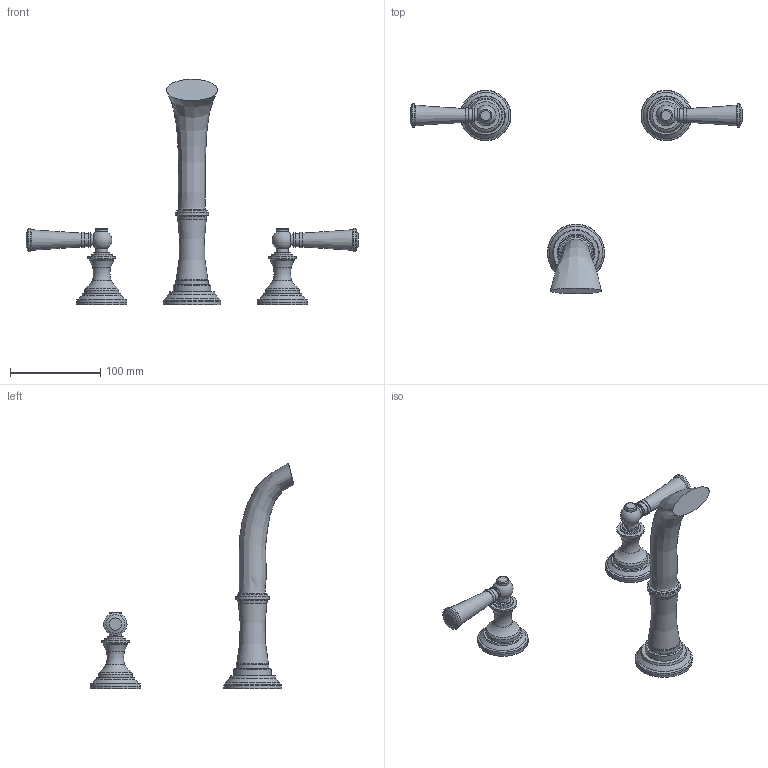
import cadquery as cq
import math

handle_spacing = 200.0
handle_setback = 152.0

spout_foot_radius = 31.75
spout_foot_edge_height = 3.0
spout_foot_height = 5.2
spout_foot_draft = 0.3
spout_slope_start_radius = 29.6
spout_slope_start_height = 6.6
spout_slope_end_radius = 25.6
spout_slope_end_height = 11.4
spout_slope_top_radius = 24.9
spout_slope_top_height = 14.2
spout_step_radius = 20.7
spout_step_height = 22.0
spout_step_chamfer = 1.0
column_foot_radius = 18.0
column_foot_height = 26.5
column_groove_depth = 0.5
column_groove_height = 1.0
waist_radius = 13.7
waist_height = 62.0
column_top_radius = 15.7
column_top_height = 94.6
collar_foot_radius = 16.6
collar_foot_height = 98.0
collar_radius = 18.5
collar_bottom_height = 99.0
collar_rim_height = 3.5
collar_step_radius = 16.9
collar_step_height = 1.3
collar_top_height = 105.0

tube_radius = 15.1
bend_start_height = 140.0
spout_reach = 45.75
spout_height = 249.67
mouth_half_width = 28.3
mouth_half_depth = 12.25
mouth_elevation = 14.6
bend_sections = [
    (0.5, 168.0, 72.0, 15.2, 15.2),
    (5.0, 192.5, 66.0, 16.6, 14.5),
    (12.0, 211.5, 53.0, 19.4, 13.6),
    (20.0, 222.8, 44.0, 22.3, 12.5),
    (29.8, 230.7, 28.0, 25.0, 11.9),
]

handle_foot_radius = 28.0
handle_foot_edge_height = 2.9
handle_foot_height = 5.3
handle_foot_draft = 0.3
handle_slope_start_radius = 25.7
handle_slope_start_height = 6.3
handle_slope_end_radius = 21.7
handle_slope_end_height = 10.3
handle_slope_top_radius = 21.2
handle_slope_top_height = 11.9
handle_step_radius = 19.1
handle_step_height = 16.0
handle_shoulder_radius = 18.0
handle_shoulder_height = 18.3
flare_bottom_radius = 10.4
flare_bottom_height = 27.0
flare_bottom_bow = -0.9
stem_waist_radius = 9.1
stem_waist_height = 34.0
flare_top_radius = 10.2
flare_top_height = 41.5
flare_top_bow = -0.3
cup_radius = 13.4
cup_bottom_height = 49.5
cup_rim_radius = 15.2
cup_rim_bottom_height = 51.0
cup_rim_top_height = 53.5
cup_step_radius = 11.5
cup_step_height = 55.8
cup_top_radius = 9.0
cup_top_height = 57.4
neck_radius = 6.8

lever_height = 71.6
ball_radius = 11.3
cap_radius = 6.8
cap_top_height = 84.5
cap_fillet = 1.3
stalk_radius = 6.0
collar_ring_radius = 7.9
collar_ring_start = 12.6
collar_ring_end = 14.2
lever_collar_radius = 7.3
band_radius = 8.5
band_start = 19.4
band_end = 22.7
grip_start_radius = 7.6
grip_end_radius = 11.4
flange_radius = 12.9
flange_start = 77.5
flange_end = 81.2
flange_chamfer = 1.2
flange_bevel_radius = 10.4
flange_bevel_end = 82.5
lever_length = 83.83
lever_end_radius = 6.8


def midpoint(start, end, bow):
    """Point bowed from the middle of a chord, positive to the right of its direction."""
    along = (end[0] - start[0], end[1] - start[1])
    length = math.hypot(*along)
    middle_x = (start[0] + end[0]) / 2 + bow * along[1] / length
    middle_y = (start[1] + end[1]) / 2 - bow * along[0] / length
    return (middle_x, middle_y)


def spout_pedestal():
    """Stepped foot, waisted column and collar, turned about Z."""
    groove_radius = column_foot_radius - column_groove_depth
    groove_top = column_foot_height + column_groove_height
    rim_top = collar_bottom_height + collar_rim_height
    profile = (
        cq.Workplane("XZ")
        .moveTo(0, 0)
        .lineTo(spout_foot_radius, 0)
        .lineTo(spout_foot_radius, spout_foot_edge_height)
        .lineTo(spout_foot_radius - spout_foot_draft, spout_foot_height)
        .lineTo(spout_slope_start_radius, spout_slope_start_height)
        .lineTo(spout_slope_end_radius, spout_slope_end_height)
        .lineTo(spout_slope_top_radius, spout_slope_top_height)
        .lineTo(spout_step_radius, spout_slope_top_height)
        .lineTo(spout_step_radius, spout_step_height - spout_step_chamfer)
        .lineTo(spout_step_radius - spout_step_chamfer, spout_step_height)
        .lineTo(column_foot_radius, spout_step_height)
        .lineTo(column_foot_radius, column_foot_height)
        .lineTo(groove_radius, column_foot_height)
        .lineTo(groove_radius, groove_top)
        .threePointArc((waist_radius, waist_height), (column_top_radius, column_top_height))
        .lineTo(collar_foot_radius, collar_foot_height)
        .lineTo(collar_radius, collar_bottom_height)
        .lineTo(collar_radius, rim_top)
        .lineTo(collar_step_radius, rim_top)
        .lineTo(collar_step_radius, rim_top + collar_step_height)
        .lineTo(tube_radius, collar_top_height)
        .lineTo(0, collar_top_height)
        .close()
    )
    return profile.revolve(360, (0, 0, 0), (0, 1, 0))


def tube_section(forward, height, elevation, half_width, half_depth):
    """Elliptical wire across the tube, whose axis points towards -Y and up by the elevation."""
    angle = math.radians(elevation)
    axis = cq.Vector(0, -math.cos(angle), math.sin(angle))
    plane = cq.Plane(origin=(0, -forward, height), xDir=(1, 0, 0), normal=axis)
    return cq.Workplane(plane).ellipse(half_width, half_depth).val()


def spout_tube():
    """Round tube that bends forward and widens into a flat oval mouth."""
    tilt = math.radians(mouth_elevation)
    mouth_forward = spout_reach - mouth_half_depth * math.sin(tilt)
    mouth_height = spout_height - mouth_half_depth * math.cos(tilt)
    straight_middle = (collar_top_height + bend_start_height) / 2
    straight_heights = (collar_top_height, straight_middle, bend_start_height)
    sections = [
        *[(0, height, 90, tube_radius, tube_radius) for height in straight_heights],
        *bend_sections,
        (mouth_forward, mouth_height, mouth_elevation, mouth_half_width, mouth_half_depth),
    ]
    wires = [tube_section(*section) for section in sections]
    return cq.Workplane(cq.Solid.makeLoft(wires))


def handle_pedestal():
    """Stepped foot, waisted stem, cup and neck, turned about Z."""
    shoulder = (handle_shoulder_radius, handle_shoulder_height)
    flare_bottom = (flare_bottom_radius, flare_bottom_height)
    flare_top = (flare_top_radius, flare_top_height)
    cup = (cup_radius, cup_bottom_height)
    profile = (
        cq.Workplane("XZ")
        .moveTo(0, 0)
        .lineTo(handle_foot_radius, 0)
        .lineTo(handle_foot_radius, handle_foot_edge_height)
        .lineTo(handle_foot_radius - handle_foot_draft, handle_foot_height)
        .lineTo(handle_slope_start_radius, handle_slope_start_height)
        .lineTo(handle_slope_end_radius, handle_slope_end_height)
        .lineTo(handle_slope_top_radius, handle_slope_top_height)
        .lineTo(handle_step_radius, handle_slope_top_height)
        .lineTo(handle_step_radius, handle_step_height)
        .lineTo(*shoulder)
        .threePointArc(midpoint(shoulder, flare_bottom, flare_bottom_bow), flare_bottom)
        .threePointArc((stem_waist_radius, stem_waist_height), flare_top)
        .threePointArc(midpoint(flare_top, cup, flare_top_bow), cup)
        .lineTo(cup_rim_radius, cup_rim_bottom_height)
        .lineTo(cup_rim_radius, cup_rim_top_height)
        .lineTo(cup_step_radius, cup_rim_top_height)
        .lineTo(cup_step_radius, cup_step_height)
        .lineTo(cup_top_radius, cup_step_height)
        .lineTo(cup_top_radius, cup_top_height)
        .lineTo(neck_radius, cup_top_height)
        .lineTo(neck_radius, lever_height)
        .lineTo(0, lever_height)
        .close()
    )
    return profile.revolve(360, (0, 0, 0), (0, 1, 0))


def ball_and_cap():
    """Ball over the neck with a round cap on top."""
    ball = cq.Workplane("XY", origin=(0, 0, lever_height)).sphere(ball_radius)
    cap = (
        cq.Workplane("XY", origin=(0, 0, lever_height))
        .circle(cap_radius)
        .extrude(cap_top_height - lever_height)
        .faces(">Z")
        .edges()
        .fillet(cap_fillet)
    )
    return ball.union(cap)


def lever():
    """Tapered grip with a banded collar and an end flange, turned about an X axis through the ball."""
    profile = (
        cq.Workplane("XZ", origin=(0, 0, lever_height))
        .moveTo(0, 0)
        .lineTo(0, stalk_radius)
        .lineTo(collar_ring_start, stalk_radius)
        .lineTo(collar_ring_start, collar_ring_radius)
        .lineTo(collar_ring_end, collar_ring_radius)
        .lineTo(collar_ring_end, lever_collar_radius)
        .lineTo(band_start, lever_collar_radius)
        .lineTo(band_start, band_radius)
        .lineTo(band_end, band_radius)
        .lineTo(band_end, grip_start_radius)
        .lineTo(flange_start, grip_end_radius)
        .lineTo(flange_start + flange_chamfer, flange_radius)
        .lineTo(flange_end, flange_radius)
        .lineTo(flange_bevel_end, flange_bevel_radius)
        .lineTo(lever_length, lever_end_radius)
        .lineTo(lever_length, 0)
        .close()
    )
    return profile.revolve(360, (0, 0, 0), (1, 0, 0))


def handle(side):
    """Handle on one side of the spout: -1 for -X, +1 for +X, the lever pointing outwards."""
    body = handle_pedestal().union(ball_and_cap()).union(lever())
    if side < 0:
        body = body.mirror("YZ")
    return body.translate((side * handle_spacing / 2, handle_setback, 0))


spout = spout_pedestal().union(spout_tube())
handles = [handle(side) for side in (-1, 1)]

result = cq.Compound.makeCompound([spout.val(), *[body.val() for body in handles]])